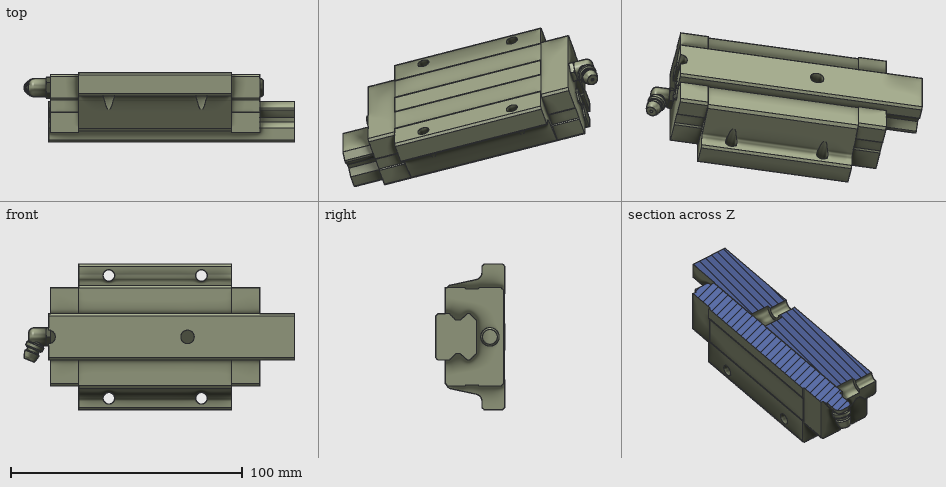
import cadquery as cq
import math


RAIL_START_X = -46.0
RAIL_LENGTH = 106.2
RAIL_HALF_WIDTH = 10.0
RAIL_NECK_HALF_WIDTH = 7.2
RAIL_HEIGHT = 17.6
RAIL_BASE_CHAMFER = 1.0
BASE_SIDE_TOP_Y = 6.0
NECK_BOTTOM_Y = 8.8
NECK_TOP_Y = 10.6
HEAD_SIDE_BOTTOM_Y = 13.8
HEAD_SIDE_TOP_Y = 14.8
RAIL_HOLE_PITCH = 60.0
RAIL_HOLE_COUNT = 2
RAIL_HOLE_D = 5.8
RAIL_COUNTERBORE_D = 9.5
RAIL_COUNTERBORE_DEPTH = 8.8

BLOCK_LENGTH = 66.0
BLOCK_TOP_Y = 30.0
BLOCK_BOTTOM_Y = 4.75
BLOCK_BOTTOM_HALF_WIDTH = 21.05
FLANGE_HALF_WIDTH = 31.5
FLANGE_BOTTOM_Y = 20.0
FLANGE_CHAMFER = 1.0
FLANK_BOTTOM_Y = 5.95
FLANK_BOTTOM_HALF_WIDTH = 22.3
FLANK_ANGLE = 12.1
FLANK_FILLET = 3.0
RELIEF_INNER_Z = 5.6
RELIEF_OUTER_Z = 18.7
RELIEF_DEPTH = 0.3
MOUNT_HOLE_D = 4.92
MOUNT_PITCH_X = 40.0
MOUNT_PITCH_Z = 53.0

CAP_LENGTH = 12.2
CAP_TOP_Y = 29.3
CAP_BOTTOM_Y = 4.2
CAP_HALF_WIDTH = 21.3
CAP_TOP_CHAMFER = 1.05
CAP_BOTTOM_CHAMFER = 1.1
CAP_GROOVE_DEPTH = 0.6
CAP_GROOVE_BOTTOM_Y = 13.1
CAP_GROOVE_TOP_Y = 18.3
CAP_GROOVE_UPPER_BEVEL = 0.7
CAP_GROOVE_LOWER_BEVEL = 0.35

PORT_Y = 23.5
HEX_ACROSS_FLATS = 8.0
HEX_LENGTH = 2.0
HEX_BEVEL_TAPER = 60.0
ELBOW_D = 8.0
ELBOW_LENGTH = 9.5
ELBOW_FILLET = 2.5
SPOUT_OFFSET = 5.1
SPOUT_TILT = 22.5
STEM_D = 6.6
COLLAR_D = 7.85
COLLAR_START = 3.1
COLLAR_END = 5.8
COLLAR_CHAMFER = 0.6
NECK_D = 5.5
NECK_END = 7.0
HEAD_D = 6.6
HEAD_START = 7.5
HEAD_TAPER_START = 7.9
CROWN_START = 9.8
CROWN_D = 5.64
TIP_D = 4.6
TIP_HOLE_D = 1.2
TIP_HOLE_DEPTH = 1.0
SPOUT_LENGTH = 10.9
PLUG_D = 8.0
PLUG_LENGTH = 1.5
PLUG_END_D = 6.4

block_half_length = BLOCK_LENGTH / 2
carriage_half_length = block_half_length + CAP_LENGTH


def mirrored_outline(half_outline):
    """Close a list of (y, z) points on the +Z side with its mirror image."""
    return half_outline + [(y, -z) for y, z in reversed(half_outline)]


def extrude_along_x(points, start_x, length):
    return cq.Workplane("YZ", origin=(start_x, 0, 0)).polyline(points).close().extrude(length)


def rail_bar():
    half_outline = [
        (0, RAIL_HALF_WIDTH - RAIL_BASE_CHAMFER),
        (RAIL_BASE_CHAMFER, RAIL_HALF_WIDTH),
        (BASE_SIDE_TOP_Y, RAIL_HALF_WIDTH),
        (NECK_BOTTOM_Y, RAIL_NECK_HALF_WIDTH),
        (NECK_TOP_Y, RAIL_NECK_HALF_WIDTH),
        (HEAD_SIDE_BOTTOM_Y, RAIL_HALF_WIDTH),
        (HEAD_SIDE_TOP_Y, RAIL_HALF_WIDTH),
        (RAIL_HEIGHT, RAIL_NECK_HALF_WIDTH),
    ]
    return extrude_along_x(mirrored_outline(half_outline), RAIL_START_X, RAIL_LENGTH)


def cylinder_along_y(x, z, start_y, end_y, diameter):
    solid = cq.Solid.makeCylinder(diameter / 2, end_y - start_y, cq.Vector(x, start_y, z), cq.Vector(0, 1, 0))
    return cq.Workplane(solid)


def make_rail():
    rail = rail_bar()
    for index in range(RAIL_HOLE_COUNT):
        x = RAIL_START_X + index * RAIL_HOLE_PITCH
        rail = rail.cut(cylinder_along_y(x, 0, 0, RAIL_HEIGHT, RAIL_HOLE_D))
        counterbore_floor_y = RAIL_HEIGHT - RAIL_COUNTERBORE_DEPTH
        rail = rail.cut(cylinder_along_y(x, 0, counterbore_floor_y, RAIL_HEIGHT, RAIL_COUNTERBORE_D))
    return rail


def flanged_block():
    """Prism with two flanges; the flange roots are rounded and the top has two relief grooves."""
    flank_root_z = FLANK_BOTTOM_HALF_WIDTH + (FLANGE_BOTTOM_Y - FLANK_BOTTOM_Y) * math.tan(
        math.radians(FLANK_ANGLE)
    )
    half_outline = [
        (BLOCK_BOTTOM_Y, BLOCK_BOTTOM_HALF_WIDTH),
        (FLANK_BOTTOM_Y, FLANK_BOTTOM_HALF_WIDTH),
        (FLANGE_BOTTOM_Y, flank_root_z),
        (FLANGE_BOTTOM_Y, FLANGE_HALF_WIDTH - FLANGE_CHAMFER),
        (FLANGE_BOTTOM_Y + FLANGE_CHAMFER, FLANGE_HALF_WIDTH),
        (BLOCK_TOP_Y - FLANGE_CHAMFER, FLANGE_HALF_WIDTH),
        (BLOCK_TOP_Y, FLANGE_HALF_WIDTH - FLANGE_CHAMFER),
        (BLOCK_TOP_Y, RELIEF_OUTER_Z),
        (BLOCK_TOP_Y - RELIEF_DEPTH, RELIEF_OUTER_Z),
        (BLOCK_TOP_Y - RELIEF_DEPTH, RELIEF_INNER_Z),
        (BLOCK_TOP_Y, RELIEF_INNER_Z),
    ]
    block = extrude_along_x(mirrored_outline(half_outline), -block_half_length, BLOCK_LENGTH)
    for side in (1, -1):
        flange_root = cq.selectors.NearestToPointSelector((0, FLANGE_BOTTOM_Y, side * flank_root_z))
        block = block.edges("|X").edges(flange_root).fillet(FLANK_FILLET)
    return block


def drill_mounting_holes(block):
    for x in (-MOUNT_PITCH_X / 2, MOUNT_PITCH_X / 2):
        for z in (-MOUNT_PITCH_Z / 2, MOUNT_PITCH_Z / 2):
            block = block.cut(cylinder_along_y(x, z, 0, BLOCK_TOP_Y, MOUNT_HOLE_D))
    return block


def end_cap(start_x):
    groove_z = CAP_HALF_WIDTH - CAP_GROOVE_DEPTH
    upper_side = [
        (CAP_GROOVE_BOTTOM_Y - CAP_GROOVE_LOWER_BEVEL, CAP_HALF_WIDTH),
        (CAP_GROOVE_BOTTOM_Y, groove_z),
        (CAP_GROOVE_TOP_Y, groove_z),
        (CAP_GROOVE_TOP_Y + CAP_GROOVE_UPPER_BEVEL, CAP_HALF_WIDTH),
        (CAP_TOP_Y - CAP_TOP_CHAMFER, CAP_HALF_WIDTH),
        (CAP_TOP_Y, CAP_HALF_WIDTH - CAP_TOP_CHAMFER),
    ]
    bottom = [
        (CAP_BOTTOM_Y + CAP_BOTTOM_CHAMFER, -CAP_HALF_WIDTH),
        (CAP_BOTTOM_Y, CAP_BOTTOM_CHAMFER - CAP_HALF_WIDTH),
        (CAP_BOTTOM_Y, CAP_HALF_WIDTH),
    ]
    return extrude_along_x(mirrored_outline(upper_side) + bottom, start_x, CAP_LENGTH)


def nipple_elbow():
    """Hexagon and round elbow body, built along -X from the left cap face."""
    port_plane = cq.Plane(origin=(-carriage_half_length, PORT_Y, 0), xDir=(0, 1, 0), normal=(-1, 0, 0))
    hex_across_corners = HEX_ACROSS_FLATS / math.cos(math.radians(30))
    hexagon = cq.Workplane(port_plane).polygon(6, hex_across_corners).extrude(HEX_LENGTH)
    bevel_cone = (
        cq.Workplane(port_plane)
        .workplane(offset=HEX_LENGTH)
        .circle(HEX_ACROSS_FLATS / 2)
        .extrude(-HEX_LENGTH, taper=-HEX_BEVEL_TAPER)
    )
    elbow = cq.Workplane(port_plane).circle(ELBOW_D / 2).extrude(ELBOW_LENGTH)
    elbow = elbow.faces("<X").edges().fillet(ELBOW_FILLET)
    return hexagon.intersect(bevel_cone).union(elbow)


def nipple_spout():
    """Turned spout with collar and grip head, starting on the elbow axis."""
    collar_edge_radius = COLLAR_D / 2 - COLLAR_CHAMFER
    profile = [
        (0, 0),
        (STEM_D / 2, 0),
        (STEM_D / 2, COLLAR_START),
        (collar_edge_radius, COLLAR_START),
        (COLLAR_D / 2, COLLAR_START + COLLAR_CHAMFER),
        (COLLAR_D / 2, COLLAR_END - COLLAR_CHAMFER),
        (collar_edge_radius, COLLAR_END),
        (NECK_D / 2, COLLAR_END),
        (NECK_D / 2, NECK_END),
        (HEAD_D / 2, HEAD_START),
        (HEAD_D / 2, HEAD_TAPER_START),
        (CROWN_D / 2, CROWN_START),
        (TIP_D / 2, SPOUT_LENGTH),
        (TIP_HOLE_D / 2, SPOUT_LENGTH),
        (TIP_HOLE_D / 2, SPOUT_LENGTH - TIP_HOLE_DEPTH),
        (0, SPOUT_LENGTH - TIP_HOLE_DEPTH),
    ]
    tilt = math.radians(SPOUT_TILT)
    spout_plane = cq.Plane(
        origin=(-carriage_half_length - SPOUT_OFFSET, PORT_Y, 0),
        xDir=(math.cos(tilt), 0, -math.sin(tilt)),
        normal=(0, 1, 0),
    )
    return cq.Workplane(spout_plane).polyline(profile).close().revolve(360, (0, 0, 0), (0, 1, 0))


def port_plug():
    """Button with a convex side that starts square to the right cap face."""
    end_step = (PLUG_D - PLUG_END_D) / 2
    side_radius = (PLUG_LENGTH**2 + end_step**2) / (2 * end_step)
    half_sweep = math.asin(PLUG_LENGTH / side_radius) / 2
    side_middle = (
        side_radius * math.sin(half_sweep),
        PLUG_D / 2 - side_radius * (1 - math.cos(half_sweep)),
    )
    profile = (
        cq.Workplane("XY", origin=(carriage_half_length, PORT_Y, 0))
        .lineTo(0, PLUG_D / 2)
        .threePointArc(side_middle, (PLUG_LENGTH, PLUG_END_D / 2))
        .lineTo(PLUG_LENGTH, 0)
        .close()
    )
    return profile.revolve(360, (0, 0, 0), (1, 0, 0))


def make_carriage():
    carriage = drill_mounting_holes(flanged_block())
    for cap_start_x in (-carriage_half_length, block_half_length):
        carriage = carriage.union(end_cap(cap_start_x))
    carriage = carriage.cut(rail_bar())
    return carriage.union(nipple_elbow()).union(nipple_spout()).union(port_plug())


rail = make_rail()
carriage = make_carriage()
result = cq.Compound.makeCompound([*carriage.solids().vals(), *rail.solids().vals()])